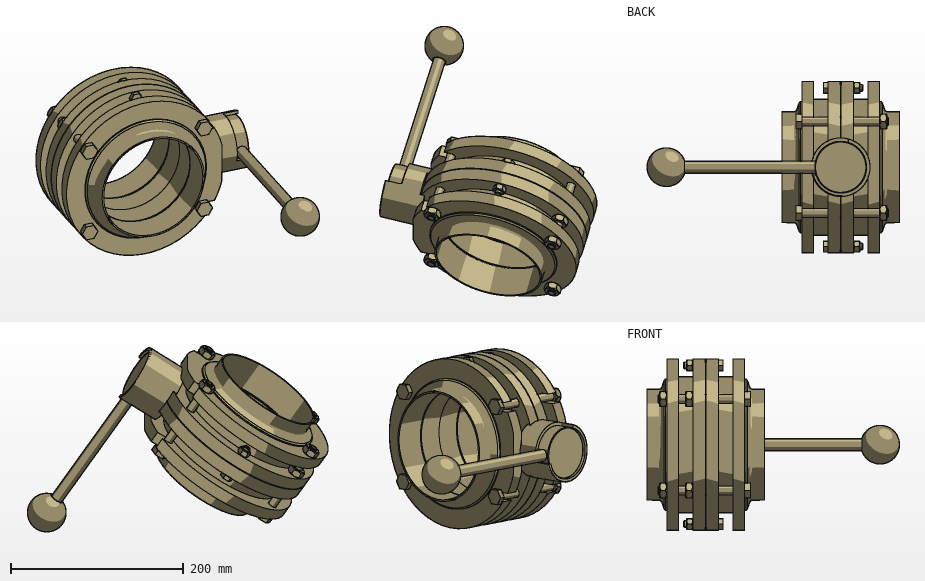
import cadquery as cq
import math


pipe_end = 68.3
pipe_diameter = 129.0
bore_diameter = 125.0
flange_diameter = 199.0
flange_inner_face = 31.4
flange_outer_face = 45.0
flange_top = 96.7
collar_diameter = 153.0
collar_end = 48.3
collar_chamfer = 1.8
cone_length = 3.5
cone_fillet = 3.0
selection_margin = 0.3

neck_diameter = 158.0
seat_diameter = 128.5
seat_depth = 1.2
body_half_width = 15.0
joint_gap = 1.0
joint_gap_floor = 88.0

long_bolt_y = 72.5
long_bolt_z = 53.0
long_bolt_diameter = 10.0
long_hole_diameter = 10.5
long_across_flats = 17.0
long_nut_height = 8.5
long_head_height = 6.5
long_bolt_tip = 1.8

short_bolt_z = 92.0
short_bolt_diameter = 8.0
short_hole_diameter = 8.5
short_across_flats = 13.0
short_nut_height = 7.3
short_head_height = 5.3
short_bolt_tip = 3.5

nut_chamfer_extra = 0.45
bolt_tip_chamfer = 1.0

hub_diameter = 68.0
hub_top = 140.3
hub_bottom = 91.5
plug_diameter = 60.0
plug_top = 137.5
plug_chamfer = 1.0
hub_edge_round = 1.0
rod_diameter = 14.0
window_side = 8.8
window_corner_round = 2.0
ball_diameter = 45.0
ball_flat = 1.5
lever_end = 293 - pipe_end
overall_depth = 250.0
rod_y = overall_depth - flange_diameter / 2 - ball_diameter / 2

LONG_BOLT_PLACES = [(y, z) for y in (-long_bolt_y, long_bolt_y) for z in (-long_bolt_z, long_bolt_z)]
SHORT_BOLT_PLACES = [(0, -short_bolt_z), (0, short_bolt_z)]


def rod_x(diameter, start, end, places=((0, 0),)):
    """Round rods along X between two X positions, at (y, z) places."""
    return cq.Workplane("YZ", origin=(start, 0, 0)).pushPoints(places).circle(diameter / 2).extrude(end - start)


def rod_y_axis(diameter, start, end):
    """A round rod on the Y axis between two Y positions."""
    return cq.Workplane("XZ", origin=(0, start, 0)).circle(diameter / 2).extrude(start - end)


def hexagon(across_flats, start, end, place):
    """A hexagonal prism along X with its corners toward +Y and -Y."""
    across_corners = across_flats / math.cos(math.pi / 6)
    return (
        cq.Workplane("YZ", origin=(start, 0, 0))
        .pushPoints([place])
        .polygon(6, across_corners)
        .extrude(end - start)
    )


def nut(across_flats, height, seat, place):
    """A nut that sits on the plane X = seat and reaches toward -X, its corners chamfered."""
    across_corners = across_flats / math.cos(math.pi / 6)
    corner_cut = (across_corners - across_flats) / 2 + nut_chamfer_extra
    envelope = rod_x(across_corners, seat - height, seat, [place]).faces("|X").chamfer(corner_cut)
    return hexagon(across_flats, seat - height, seat, place).intersect(envelope)


def bolt(diameter, across_flats, nut_height, head_height, tip, grip, place):
    """A bolt with its nut at X = -grip and its head at X = grip."""
    shank = rod_x(diameter, -grip - nut_height - tip, grip, [place]).faces("<X").chamfer(bolt_tip_chamfer)
    head = hexagon(across_flats, grip, grip + head_height, place)
    return shank.union(nut(across_flats, nut_height, -grip, place)).union(head)


def flange_disc(start, end):
    """A flange with the flat that makes room for the lever hub."""
    disc = rod_x(flange_diameter, start, end)
    trim = cq.Workplane().box(end - start, flange_diameter, flange_diameter)
    trim_center = ((start + end) / 2, flange_top - flange_diameter / 2, 0)
    return disc.intersect(trim.translate(trim_center))


def pipe_flange():
    """The flange on the +X side with its collar, cone and pipe end."""
    pipe_radius = pipe_diameter / 2
    collar_radius = collar_diameter / 2
    cone_foot = collar_end + cone_length
    profile = [
        (flange_outer_face, 0),
        (flange_outer_face, collar_radius),
        (collar_end - collar_chamfer, collar_radius),
        (collar_end, collar_radius - collar_chamfer),
        (cone_foot, pipe_radius),
        (pipe_end, pipe_radius),
        (pipe_end, 0),
    ]
    spigot = cq.Workplane("XZ").polyline(profile).close().revolve(360, (0, 0, 0), (1, 0, 0))
    foot_zone = cq.selectors.BoxSelector(
        (cone_foot - selection_margin, -flange_diameter, -flange_diameter),
        (cone_foot + selection_margin, flange_diameter, flange_diameter),
    )
    spigot = spigot.edges(foot_zone).fillet(cone_fillet)
    body = flange_disc(flange_inner_face, flange_outer_face).union(spigot)
    body = body.cut(rod_x(bore_diameter, flange_inner_face, pipe_end))
    body = body.cut(rod_x(long_hole_diameter, flange_inner_face, flange_outer_face, LONG_BOLT_PLACES))
    return body.cut(bolt_slots())


def bolt_slots():
    """Slots that open the two +Y bolt holes of an outer flange to its rim."""
    thickness = flange_outer_face - flange_inner_face
    length = flange_top - long_bolt_y
    slot = cq.Workplane().box(thickness, length, long_hole_diameter, centered=(False, False, True))
    upper = slot.translate((flange_inner_face, long_bolt_y, long_bolt_z))
    return upper.union(upper.mirror("XY"))


def body_half():
    """The valve body half on the +X side, with the joint face at X = 0."""
    body = flange_disc(0, body_half_width).union(rod_x(neck_diameter, 0, flange_inner_face))
    relief = rod_x(flange_diameter, 0, joint_gap / 2).cut(rod_x(2 * joint_gap_floor, 0, joint_gap / 2))
    body = body.cut(relief).cut(rod_x(bore_diameter, 0, flange_inner_face))
    body = body.cut(rod_x(seat_diameter, flange_inner_face - seat_depth, flange_inner_face))
    body = body.cut(rod_x(long_hole_diameter, 0, flange_inner_face, LONG_BOLT_PLACES))
    return body.cut(rod_x(short_hole_diameter, 0, body_half_width, SHORT_BOLT_PLACES))


def left_flange():
    """The outer flange on the -X side, which carries the long bolts and their nuts."""
    body = pipe_flange().mirror("YZ")
    for y, z in LONG_BOLT_PLACES:
        body = body.union(
            bolt(
                long_bolt_diameter, long_across_flats, long_nut_height, long_head_height,
                long_bolt_tip, flange_outer_face, (y, z),
            )
        )
        if y < 0:
            body = body.union(nut(long_across_flats, long_nut_height, -body_half_width, (y, z)))
    return body


def left_body_half():
    """The body half on the -X side, which carries the short bolts and their nuts."""
    body = body_half().mirror("YZ")
    for place in SHORT_BOLT_PLACES:
        body = body.union(
            bolt(
                short_bolt_diameter, short_across_flats, short_nut_height, short_head_height,
                short_bolt_tip, body_half_width, place,
            )
        )
    return body


def hub_window():
    """A quarter-turn window in the hub wall, from the rod toward +Z."""
    bottom = rod_y - rod_diameter / 2
    block = cq.Workplane().box(hub_diameter, hub_top - bottom, hub_diameter, centered=False)
    block = block.edges("|Z and <X and <Y").fillet(window_corner_round)
    block = block.translate((-window_side, bottom, -window_side))
    return block.cut(rod_y_axis(plug_diameter, bottom, hub_top))


def flange_saddles():
    """The space of all the flanges below their flats, which the hub must leave free."""
    height = flange_top - hub_bottom
    middle = (0, hub_bottom + height / 2, 0)
    body_space = cq.Workplane().box(2 * body_half_width, height, hub_diameter).translate(middle)
    side_space = cq.Workplane().box(2 * flange_outer_face, height, hub_diameter)
    side_space = side_space.cut(cq.Workplane().box(2 * flange_inner_face, height, hub_diameter))
    return body_space.union(side_space.translate(middle))


def lever():
    """The hub, its inner plug, the rod and the ball."""
    hub = rod_y_axis(hub_diameter, hub_bottom, hub_top).faces(">Y").edges().fillet(hub_edge_round)
    plug = rod_y_axis(plug_diameter, flange_top, plug_top).faces(">Y").chamfer(plug_chamfer)
    hub = hub.cut(rod_y_axis(plug_diameter, flange_top, hub_top)).cut(hub_window())
    hub = hub.union(plug).cut(flange_saddles())

    ball_radius = ball_diameter / 2
    ball_x = lever_end - ball_radius
    ball = cq.Workplane().sphere(ball_radius, direct=(1, 0, 0))
    keep = cq.Workplane().box(ball_diameter, ball_diameter, ball_diameter).translate((ball_flat, 0, 0))
    ball = ball.intersect(keep).translate((ball_x, rod_y, 0))

    rod = rod_x(rod_diameter, 0, ball_x, [(rod_y, 0)])
    return hub.union(rod).union(ball)


result = cq.Compound.makeCompound(
    [
        left_flange().val(),
        left_body_half().val(),
        body_half().val(),
        pipe_flange().val(),
        lever().val(),
    ]
)